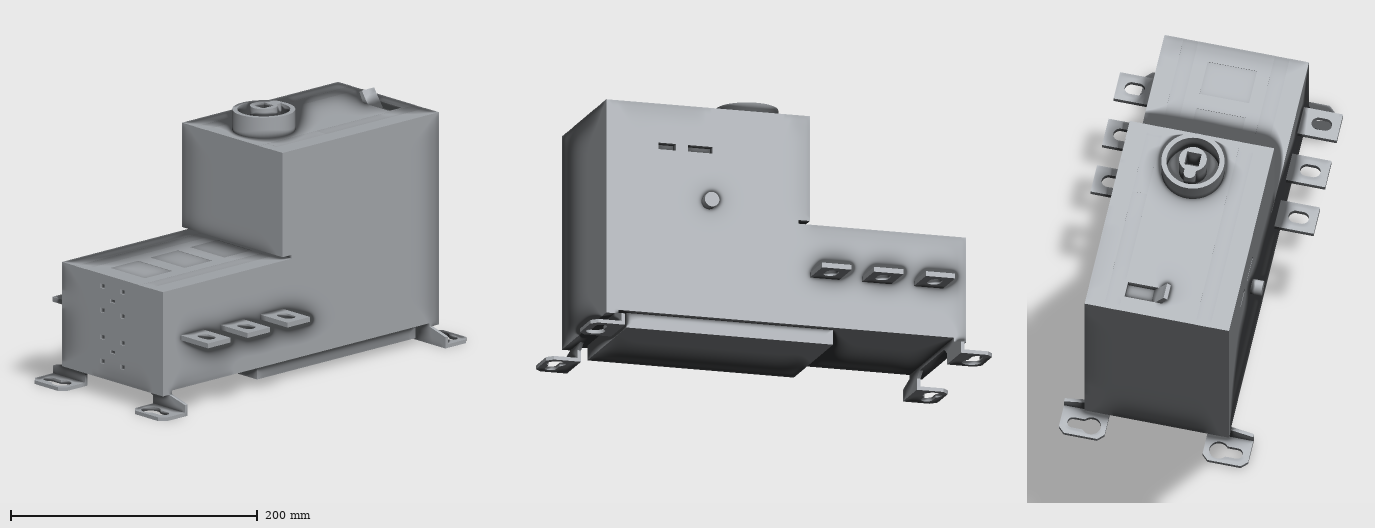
import cadquery as cq

TOTAL_LENGTH = 341.5
TOTAL_WIDTH = 185.0
TOTAL_HEIGHT = 214.0

BODY_WIDTH = 120.0
BODY_LENGTH = 306.0
BODY_BOTTOM = 17.5
LOW_TOP = 102.5
TALL_TOP = 193.5
TALL_FRONT_Y = -20.0
GAP_END_Y = -10.2
GAP_TOP = 105.5
LIP_BOTTOM = 14.5

BASE_WIDTH = 106.0
BASE_FRONT_Y = -42.0
BASE_REAR_Y = 133.5
BASE_BOTTOM = 5.0

SHEET = 3.0
FOOT_INNER_X = 40.5
FOOT_OUTER_X = 78.5
FOOT_CHAMFER = 5.0
WEB_INNER_Y = 142.7
WEB_TOP_INNER_X = 33.0
WEB_SHOULDER = 9.5
KEYHOLE_Y = 159.8
KEYHOLE_ROUND_X = 53.0
KEYHOLE_ROUND_RADIUS = 8.0
KEYHOLE_SLOT_X = 68.0
KEYHOLE_SLOT_WIDTH = 9.5

POLE_PITCH = 44.0
POLE_MIDDLE_Y = -77.0
TERMINAL_LENGTH_Y = 25.0
TERMINAL_BOTTOM = 58.0
TERMINAL_THICKNESS = 4.0
TERMINAL_HOLE_X = 77.5
TERMINAL_HOLE_LENGTH = 16.7
TERMINAL_HOLE_WIDTH = 11.0
WINDOW_WIDTH = 41.0
WINDOW_LENGTH = 30.5
WINDOW_DEPTH = 0.5

CHANNEL_INNER_X = 31.8
CHANNEL_OUTER_X = 44.0
TALL_CHANNEL_DEPTH = 0.17
LOW_CHANNEL_DEPTH = 0.17
INSERT_REAR_Y = 43.0
INSERT_THICKNESS = 0.07

KNOB_Y = 14.7
KNOB_RADIUS = 25.5
KNOB_BORE_RADIUS = 21.5
KNOB_TOP = 211.0
HUB_RADIUS = 11.3
POINTER_WIDTH = 9.5
POINTER_REACH = 17.8
SHAFT_SOCKET = 12.0
SOCKET_DEPTH = 20.5

LATCH_FRONT_Y = 126.0
LATCH_REAR_Y = 139.7
POCKET_LEFT_X = 1.7
POCKET_RIGHT_X = 29.7
POCKET_DEPTH = 5.0
LATCH_TIP_X = -5.8
LATCH_TIP_Z = 202.0
LATCH_CREST_X = -2.7
LATCH_CREST_Z = 204.0
LATCH_BEND_X = -0.5
LATCH_BEND_Z = 200.0
LATCH_ROOT_X = 8.0
LATCH_BACK_TOP_X = -4.8
LATCH_BACK_X = -1.5

BUTTON_RADIUS = 6.0
BUTTON_LENGTH = 9.2
BUTTON_Y = 66.0
BUTTON_Z = 114.5
SIDE_SLOT_BOTTOM = 155.5
SIDE_SLOT_TOP = 161.0
SIDE_SLOT_DEPTH = 7.0
SIDE_SLOT_SPANS = ((62.5, 83.5), (94.0, 108.5))

OPENING_CLUSTER_Z = (39.0, 82.0)
OPENING_OFFSET_X = 12.0
OPENING_OFFSET_Z = 10.2
CORNER_OPENING = (4.5, 3.8)
CENTRE_OPENING = (5.8, 2.7)
OPENING_DEPTH = 3.5

HALF_WIDTH = BODY_WIDTH / 2
HALF_LENGTH = BODY_LENGTH / 2
POCKET_FLOOR = TALL_TOP - POCKET_DEPTH
WEB_OUTER_Y = WEB_INNER_Y + SHEET
POLE_YS = [POLE_MIDDLE_Y + step * POLE_PITCH for step in (-1, 0, 1)]


def block(x0, x1, y0, y1, z0, z1):
    """Box between two opposite corners."""
    size = (x1 - x0, y1 - y0, z1 - z0)
    return cq.Workplane("XY").box(*size, centered=False).translate((x0, y0, z0))


def four_corners(shape):
    """The shape with its mirror images across X = 0 and Y = 0."""
    pair = shape.union(shape.mirror("YZ"))
    return pair.union(pair.mirror("XZ"))


def make_housing():
    side_outline = [
        (-HALF_LENGTH, LIP_BOTTOM),
        (-HALF_LENGTH, LOW_TOP),
        (GAP_END_Y, LOW_TOP),
        (GAP_END_Y, GAP_TOP),
        (TALL_FRONT_Y, GAP_TOP),
        (TALL_FRONT_Y, TALL_TOP),
        (HALF_LENGTH, TALL_TOP),
        (HALF_LENGTH, LIP_BOTTOM),
        (WEB_INNER_Y, LIP_BOTTOM),
        (WEB_INNER_Y, BODY_BOTTOM),
        (-WEB_INNER_Y, BODY_BOTTOM),
        (-WEB_INNER_Y, LIP_BOTTOM),
    ]
    housing = cq.Workplane("YZ").polyline(side_outline).close().extrude(HALF_WIDTH, both=True)
    base = block(-BASE_WIDTH / 2, BASE_WIDTH / 2, BASE_FRONT_Y, BASE_REAR_Y, BASE_BOTTOM, BODY_BOTTOM)
    return housing.union(base)


def make_foot():
    """Foot at the +X, +Y corner: flat pad with a keyhole and an upright web."""
    pad = block(FOOT_INNER_X, FOOT_OUTER_X, WEB_INNER_Y, TOTAL_LENGTH / 2, 0, SHEET)
    pad = pad.faces(">Y").edges("|Z").chamfer(FOOT_CHAMFER)
    slot_length = KEYHOLE_SLOT_X - KEYHOLE_ROUND_X + KEYHOLE_SLOT_WIDTH
    slot_middle = (KEYHOLE_SLOT_X + KEYHOLE_ROUND_X) / 2
    round_hole = (
        cq.Workplane("XY").center(KEYHOLE_ROUND_X, KEYHOLE_Y)
        .circle(KEYHOLE_ROUND_RADIUS).extrude(SHEET)
    )
    slot = (
        cq.Workplane("XY").center(slot_middle, KEYHOLE_Y)
        .slot2D(slot_length, KEYHOLE_SLOT_WIDTH).extrude(SHEET)
    )
    web_outline = [
        (FOOT_INNER_X, 0),
        (FOOT_OUTER_X, 0),
        (FOOT_OUTER_X, WEB_SHOULDER),
        (HALF_WIDTH, LIP_BOTTOM),
        (WEB_TOP_INNER_X, LIP_BOTTOM),
        (FOOT_INNER_X, WEB_SHOULDER),
    ]
    web = (
        cq.Workplane("XZ", origin=(0, WEB_OUTER_Y, 0))
        .polyline(web_outline).close().extrude(SHEET)
    )
    return pad.cut(round_hole).cut(slot).union(web)


def make_terminals():
    """Flat bars through the housing, one per pole, with a slotted hole at each end."""
    bars = (
        cq.Workplane("XY", origin=(0, 0, TERMINAL_BOTTOM))
        .pushPoints([(0, y) for y in POLE_YS])
        .rect(TOTAL_WIDTH, TERMINAL_LENGTH_Y).extrude(TERMINAL_THICKNESS)
    )
    holes = (
        cq.Workplane("XY", origin=(0, 0, TERMINAL_BOTTOM))
        .pushPoints([(side * TERMINAL_HOLE_X, y) for side in (-1, 1) for y in POLE_YS])
        .slot2D(TERMINAL_HOLE_LENGTH, TERMINAL_HOLE_WIDTH).extrude(TERMINAL_THICKNESS)
    )
    return bars.cut(holes)


def cut_top_channels(body):
    for side in (-1, 1):
        x0, x1 = sorted((side * CHANNEL_INNER_X, side * CHANNEL_OUTER_X))
        low = block(x0, x1, -HALF_LENGTH, GAP_END_Y, LOW_TOP - LOW_CHANNEL_DEPTH, LOW_TOP)
        tall = block(x0, x1, TALL_FRONT_Y, HALF_LENGTH, TALL_TOP - TALL_CHANNEL_DEPTH, TALL_TOP)
        body = body.cut(low).cut(tall)
    channel_floor = TALL_TOP - TALL_CHANNEL_DEPTH
    insert = block(
        CHANNEL_INNER_X, CHANNEL_OUTER_X, GAP_END_Y, INSERT_REAR_Y,
        channel_floor, channel_floor + INSERT_THICKNESS,
    )
    return body.union(insert)


def cut_windows(body):
    windows = (
        cq.Workplane("XY", origin=(0, 0, LOW_TOP - WINDOW_DEPTH))
        .pushPoints([(0, y) for y in POLE_YS])
        .rect(WINDOW_WIDTH, WINDOW_LENGTH).extrude(WINDOW_DEPTH)
    )
    return body.cut(windows)


def make_knob():
    """Open cup with a central hub, a rounded pointer and a square shaft socket."""
    top = cq.Workplane("XY", origin=(0, KNOB_Y, TALL_TOP))
    cup = top.circle(KNOB_RADIUS).circle(KNOB_BORE_RADIUS).extrude(KNOB_TOP - TALL_TOP)
    hub_height = TOTAL_HEIGHT - TALL_TOP
    hub = top.circle(HUB_RADIUS).extrude(hub_height)
    tip_y = POINTER_REACH - POINTER_WIDTH / 2
    pointer = (
        top.center(0, tip_y / 2)
        .slot2D(tip_y + POINTER_WIDTH, POINTER_WIDTH, 90).extrude(hub_height)
    )
    return cup.union(hub).union(pointer)


def make_shaft_socket():
    return (
        cq.Workplane("XY", origin=(0, KNOB_Y, TOTAL_HEIGHT - SOCKET_DEPTH))
        .rect(SHAFT_SOCKET, SHAFT_SOCKET).extrude(SOCKET_DEPTH)
    )


def make_latch():
    """Hooked tab that rises from the pocket floor and leans toward -X."""
    outline = [
        (LATCH_TIP_X, LATCH_TIP_Z),
        (LATCH_CREST_X, LATCH_CREST_Z),
        (LATCH_BEND_X, LATCH_BEND_Z),
        (LATCH_ROOT_X, POCKET_FLOOR),
        (LATCH_BACK_X, POCKET_FLOOR),
        (LATCH_BACK_X, TALL_TOP),
        (LATCH_BACK_TOP_X, LATCH_BEND_Z),
    ]
    return (
        cq.Workplane("XZ", origin=(0, LATCH_REAR_Y, 0))
        .polyline(outline).close().extrude(LATCH_REAR_Y - LATCH_FRONT_Y)
    )


def make_latch_pocket():
    return block(POCKET_LEFT_X, POCKET_RIGHT_X, LATCH_FRONT_Y, LATCH_REAR_Y, POCKET_FLOOR, TALL_TOP)


def make_button():
    return (
        cq.Workplane("YZ", origin=(-HALF_WIDTH - BUTTON_LENGTH, BUTTON_Y, BUTTON_Z))
        .circle(BUTTON_RADIUS).extrude(BUTTON_LENGTH)
    )


def cut_side_slots(body):
    for y0, y1 in SIDE_SLOT_SPANS:
        slot = block(
            -HALF_WIDTH, -HALF_WIDTH + SIDE_SLOT_DEPTH, y0, y1,
            SIDE_SLOT_BOTTOM, SIDE_SLOT_TOP,
        )
        body = body.cut(slot)
    return body


def cut_front_openings(body):
    front = cq.Workplane("XZ", origin=(0, -HALF_LENGTH, 0))
    corners = [
        (side * OPENING_OFFSET_X, z + level * OPENING_OFFSET_Z)
        for z in OPENING_CLUSTER_Z
        for side in (-1, 1)
        for level in (-1, 1)
    ]
    centres = [(0, z) for z in OPENING_CLUSTER_Z]
    corner_openings = front.pushPoints(corners).rect(*CORNER_OPENING).extrude(-OPENING_DEPTH)
    centre_openings = front.pushPoints(centres).rect(*CENTRE_OPENING).extrude(-OPENING_DEPTH)
    return body.cut(corner_openings).cut(centre_openings)


body = make_housing()
body = cut_top_channels(body)
body = cut_windows(body)
body = cut_side_slots(body)
body = cut_front_openings(body)
body = body.cut(make_latch_pocket()).union(make_latch())
body = body.union(make_knob()).cut(make_shaft_socket())
body = body.union(make_button())
body = body.union(make_terminals())
result = body.union(four_corners(make_foot()))